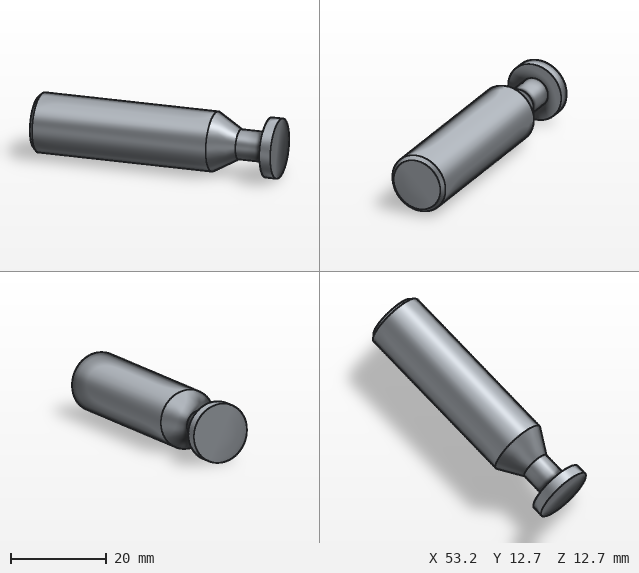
import cadquery as cq
import math

total_length = 53.2
body_diameter = 12.7
neck_diameter = 6.4
chamfer = 0.8
neck_length = 6.35
head_thickness = 2.4
taper_angle = 30.0

body_radius = body_diameter / 2
neck_radius = neck_diameter / 2
taper_length = (body_radius - neck_radius) / math.tan(math.radians(taper_angle))
head_start = total_length - head_thickness
taper_end = head_start - neck_length
taper_start = taper_end - taper_length

profile = (
    cq.Workplane("XY")
    .moveTo(0, 0)
    .lineTo(0, body_radius - chamfer)
    .lineTo(chamfer, body_radius)
    .lineTo(taper_start, body_radius)
    .lineTo(taper_end, neck_radius)
    .lineTo(head_start, neck_radius)
    .lineTo(head_start, body_radius)
    .lineTo(total_length, body_radius)
    .lineTo(total_length, 0)
    .close()
)
result = profile.revolve(360, (0, 0, 0), (1, 0, 0))